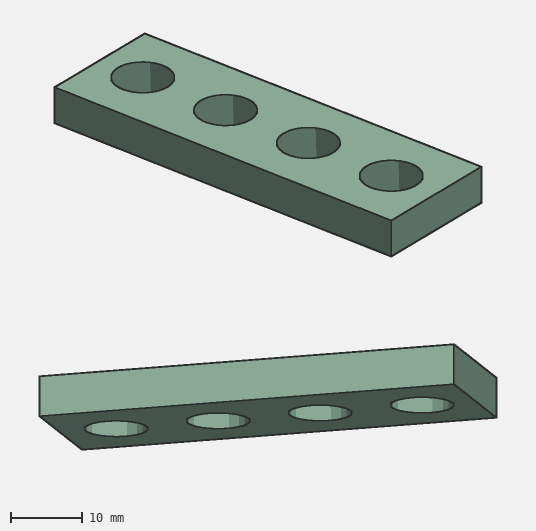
import cadquery as cq

length = 60.95
width = 20.05
thickness = 5.8

hole_diameter = 8.9
hole_count = 4
hole_pitch = 15.0
first_hole_from_left = 7.8

hole_centers = [
    (first_hole_from_left + i * hole_pitch, width / 2) for i in range(hole_count)
]

plate = cq.Workplane("XY").box(length, width, thickness, centered=False)
holes = (
    cq.Workplane("XY")
    .pushPoints(hole_centers)
    .circle(hole_diameter / 2)
    .extrude(thickness)
)

result = plate.cut(holes)